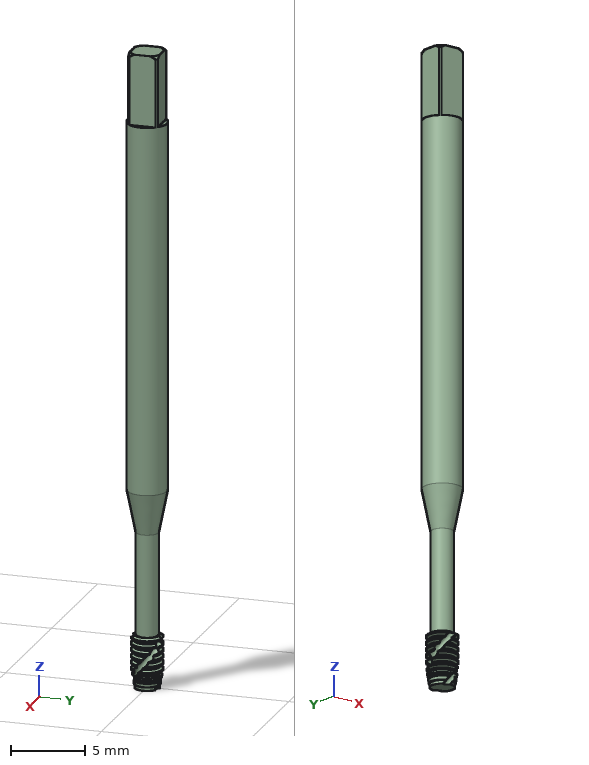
import cadquery as cq
import math

total_length = 45.0
shank_diameter = 2.8
neck_diameter = 1.6

head_length = 3.75
taper_start = 11.0
taper_end = 14.0
square_length = 5.0
shank_end = total_length - square_length

square_width = 2.1
end_chamfer = 0.2

thread_diameter = 2.2
core_diameter = 1.72
pitch = 0.45
tooth_count = 8
crest_width = 0.06
root_width = 0.10
lead_in_end = 1.4

flute_count = 2
flute_lead = 6.35
flute_radius = 0.35
flute_center_radius = 1.05
flute_start_angle = -108.0


def make_shank():
    """Neck, conical transition and cylindrical shank ending in a drive square."""
    neck_radius = neck_diameter / 2
    shank_radius = shank_diameter / 2
    body = (
        cq.Workplane("YZ")
        .moveTo(0, head_length)
        .lineTo(neck_radius, head_length)
        .lineTo(neck_radius, taper_start)
        .lineTo(shank_radius, taper_end)
        .lineTo(shank_radius, total_length - end_chamfer)
        .lineTo(shank_radius - end_chamfer, total_length)
        .lineTo(0, total_length)
        .close()
        .revolve(360, (0, 0, 0), (0, 1, 0))
    )
    outside_square = (
        cq.Workplane("XY")
        .workplane(offset=shank_end)
        .rect(2 * shank_diameter, 2 * shank_diameter)
        .rect(square_width, square_width)
        .extrude(square_length)
    )
    return body.cut(outside_square).solids()


def make_toothed_blank():
    """Core with ring teeth, trimmed by the lead-in cone at the tip."""
    core_radius = core_diameter / 2
    thread_radius = thread_diameter / 2
    half_base = (pitch - root_width) / 2
    half_crest = crest_width / 2
    top_tooth = head_length - half_base

    profile = cq.Workplane("XZ").moveTo(0, 0).lineTo(core_radius, 0)
    for index in reversed(range(tooth_count)):
        center = top_tooth - index * pitch
        profile = (
            profile.lineTo(core_radius, center - half_base)
            .lineTo(thread_radius, center - half_crest)
            .lineTo(thread_radius, center + half_crest)
            .lineTo(core_radius, center + half_base)
        )
    blank = profile.lineTo(0, head_length).close().revolve(360, (0, 0, 0), (0, 1, 0))

    envelope = (
        cq.Workplane("XZ")
        .lineTo(core_radius, 0)
        .lineTo(thread_radius, lead_in_end)
        .lineTo(thread_radius, head_length)
        .lineTo(0, head_length)
        .close()
        .revolve(360, (0, 0, 0), (0, 1, 0))
    )
    return blank.intersect(envelope)


def make_flute(start_angle):
    """Round channel cutter twisting right-handed around the axis along the head."""
    angle = math.radians(start_angle)
    center_x = flute_center_radius * math.cos(angle)
    center_y = flute_center_radius * math.sin(angle)
    return (
        cq.Workplane("XY")
        .pushPoints([(center_x, center_y)])
        .circle(flute_radius)
        .twistExtrude(head_length, 360 * head_length / flute_lead)
    )


def make_cutting_head():
    head = make_toothed_blank()
    for index in range(flute_count):
        head = head.cut(make_flute(flute_start_angle + index * 360 / flute_count))
    return head.solids()


shank = make_shank()
cutting_head = make_cutting_head()

result = cq.Compound.makeCompound([*shank.vals(), *cutting_head.vals()])